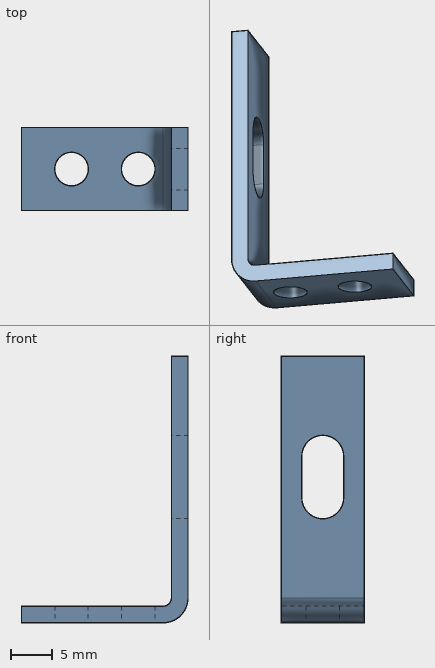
import cadquery as cq

foot_length = 20.0
bracket_width = 10.0
bracket_height = 32.0
thickness = 2.0
inner_bend_radius = 1.0
outer_bend_radius = inner_bend_radius + thickness

hole_diameter = 4.0
first_hole_x = 6.0
hole_spacing = 8.0
hole_count = 2

slot_width = 5.0
slot_length = 10.0
slot_center_z = 17.5

center_y = bracket_width / 2


def bent_strip():
    """L-shaped strip with concentric inner and outer bend radii."""
    upright_inner_x = foot_length - thickness
    foot = cq.Workplane("XY").box(foot_length, bracket_width, thickness, centered=False)
    upright = (
        cq.Workplane("XY")
        .box(thickness, bracket_width, bracket_height, centered=False)
        .translate((upright_inner_x, 0, 0))
    )
    inner_corner = cq.NearestToPointSelector((upright_inner_x, center_y, thickness))
    outer_corner = cq.NearestToPointSelector((foot_length, center_y, 0))
    strip = foot.union(upright).clean()
    strip = strip.edges(inner_corner).fillet(inner_bend_radius)
    return strip.edges(outer_corner).fillet(outer_bend_radius)


def foot_holes():
    """Cutters for the row of round holes through the foot."""
    centers = [(first_hole_x + i * hole_spacing, center_y) for i in range(hole_count)]
    return cq.Workplane("XY").pushPoints(centers).circle(hole_diameter / 2).extrude(thickness)


def upright_slot():
    """Cutter for the round-ended slot through the upright."""
    return (
        cq.Workplane("YZ", origin=(foot_length - thickness, center_y, slot_center_z))
        .slot2D(slot_length, slot_width, 90)
        .extrude(thickness)
    )


result = bent_strip().cut(foot_holes()).cut(upright_slot())